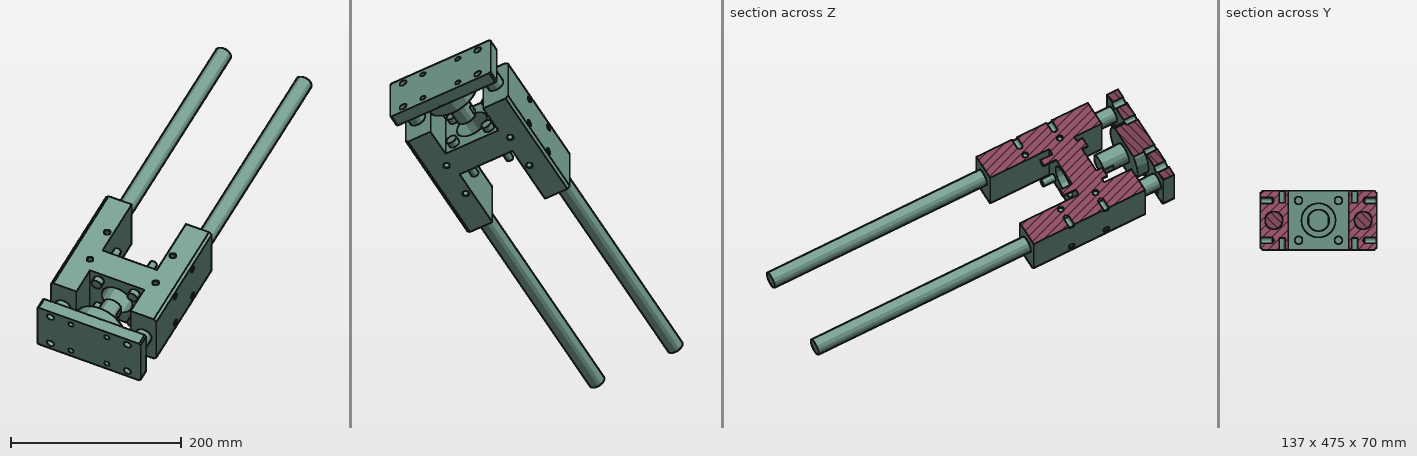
import cadquery as cq
overall_length = 475.0

housing_width = 137.0
housing_height = 70.0
housing_front = 40.0
housing_length = 150.0
housing_chamfer = 3.5
leg_gap = 70.5
web_front = 76.5
web_thickness = 34.0
web_bore_diameter = 40.0

fixing_pitch = 46.5
fixing_offset = fixing_pitch / 2

thread_diameter = 6.5
thread_depth = 14.2
drill_tip_depth = 2.0
countersink_diameter = 8.0
countersink_depth = 0.7
first_thread_hole_y = 92.0
thread_hole_y = (first_thread_hole_y, first_thread_hole_y + fixing_pitch)
top_hole_spacing = 85.0

screw_diameter = 9.0
screw_head_diameter = 13.0
screw_head_height = 7.5
screw_end_length = 16.0

plate_width = 134.0
plate_height = 65.0
plate_thickness = 15.0
plate_chamfer = 2.0
outer_hole_diameter = 9.0
outer_hole_spacing = 99.8
inner_hole_diameter = 6.5

rod_diameter = 20.0
rod_spacing = 104.5

flange_diameter = 65.0
flange_end = 30.0
stud_diameter = 25.0
stud_flat_start = 51.0
stud_end = 63.5
stud_flat_width = 23.0


def four_corners(half_width):
    """Corner points (x, z) spaced half_width from the centre in X and on the fixing pattern in Z."""
    return [(x, z) for x in (-half_width, half_width) for z in (-fixing_offset, fixing_offset)]


fixing_points = four_corners(fixing_offset)
outer_hole_points = four_corners(outer_hole_spacing / 2)
rod_points = [(-rod_spacing / 2, 0), (rod_spacing / 2, 0)]


def cylinders_along_y(points, diameter, y_start, y_end):
    """Cylinders parallel to Y, centred on the given (x, z) points."""
    start_plane = cq.Workplane("XZ", origin=(0, y_start, 0))
    return start_plane.pushPoints(points).circle(diameter / 2).extrude(y_start - y_end)


def chamfered_bar(width, height, y_start, length, chamfer):
    """Rectangular bar along Y with its four long edges chamfered."""
    bar = cq.Workplane("XY").box(width, length, height).edges("|Y").chamfer(chamfer)
    return bar.translate((0, y_start + length / 2, 0))


def leg_gap_cut(y_start, y_end):
    """Open space between the housing legs, full height."""
    gap = cq.Workplane("XY").box(leg_gap, y_end - y_start, housing_height)
    return gap.translate((0, (y_start + y_end) / 2, 0))


def thread_hole(tip_depth):
    """Solid of a countersunk threaded hole, along -Z from the origin; a tip depth of 0 gives a flat floor."""
    profile = cq.Workplane("XZ").lineTo(countersink_diameter / 2, 0)
    profile = profile.lineTo(thread_diameter / 2, -countersink_depth)
    profile = profile.lineTo(thread_diameter / 2, -thread_depth)
    profile = profile.lineTo(0, -thread_depth - tip_depth)
    return profile.close().revolve(360, (0, 0, 0), (0, 1, 0))


def cut_thread_holes(housing):
    """Flat-bottomed holes in the top and bottom, and holes with drill tips in both outer sides."""
    flat_hole = thread_hole(0).val()
    drilled_hole = thread_hole(drill_tip_depth).val()
    for y in thread_hole_y:
        for side in (-1, 1):
            x = side * top_hole_spacing / 2
            z = side * fixing_offset
            for face in (-1, 1):
                top_or_bottom = cq.Plane((x, y, face * housing_height / 2), (1, 0, 0), (0, 0, face))
                left_or_right = cq.Plane((face * housing_width / 2, y, z), (0, 1, 0), (face, 0, 0))
                housing = housing.cut(cq.Workplane(flat_hole.moved(cq.Location(top_or_bottom))))
                housing = housing.cut(cq.Workplane(drilled_hole.moved(cq.Location(left_or_right))))
    return housing


def make_housing():
    """H-shaped guide housing with its cylinder screws."""
    housing_back = housing_front + housing_length
    web_back = web_front + web_thickness
    housing = chamfered_bar(housing_width, housing_height, housing_front, housing_length, housing_chamfer)
    housing = housing.cut(leg_gap_cut(housing_front, web_front))
    housing = housing.cut(leg_gap_cut(web_back, housing_back))
    housing = housing.cut(cylinders_along_y([(0, 0)], web_bore_diameter, web_front, web_back))
    housing = housing.cut(cylinders_along_y(rod_points, rod_diameter, housing_front, housing_back))
    housing = cut_thread_holes(housing)
    heads = cylinders_along_y(fixing_points, screw_head_diameter, web_front - screw_head_height, web_front)
    ends = cylinders_along_y(fixing_points, screw_diameter, web_back, web_back + screw_end_length)
    return housing.union(heads).union(ends)


def make_stud():
    """Round coupling stud with two parallel flats across its free end."""
    stud = cylinders_along_y([(0, 0)], stud_diameter, flange_end, stud_end)
    flat_length = stud_end - stud_flat_start
    flatted_end = cq.Workplane("XY").box(stud_flat_width, flat_length, stud_diameter)
    flatted_end = flatted_end.translate((0, (stud_flat_start + stud_end) / 2, 0))
    round_end = cylinders_along_y([(0, 0)], stud_diameter, stud_flat_start, stud_end)
    return stud.cut(round_end.cut(flatted_end))


def make_slide():
    """Front plate carrying the two guide rods and the piston coupling."""
    slide = chamfered_bar(plate_width, plate_height, 0, plate_thickness, plate_chamfer)
    slide = slide.cut(cylinders_along_y(outer_hole_points, outer_hole_diameter, 0, plate_thickness))
    slide = slide.cut(cylinders_along_y(fixing_points, inner_hole_diameter, 0, plate_thickness))
    slide = slide.union(cylinders_along_y(rod_points, rod_diameter, plate_thickness, overall_length))
    slide = slide.union(cylinders_along_y([(0, 0)], flange_diameter, plate_thickness, flange_end))
    return slide.union(make_stud())


housing = make_housing()
slide = make_slide()
result = cq.Compound.makeCompound([housing.val(), slide.val()])